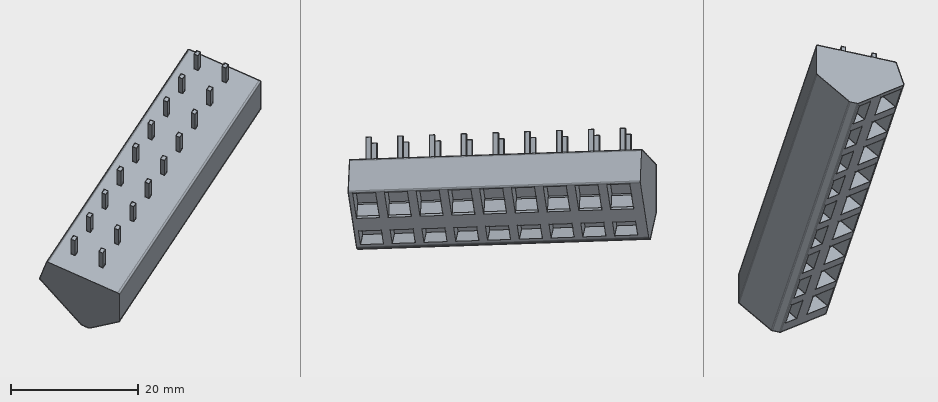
import cadquery as cq
import math

body_height = 13.0
top_width = 13.0
lean_angle = 13.35
shoulder_height = 7.52
back_edge_height = 5.4
edge_radius = 0.3

pole_count = 9
pole_pitch = 5.08
front_margin = 3.54
rear_margin = pole_pitch / 2

pin_row_spacing = 5.0
pin_row_inset = 3.0
pin_width_x = 0.7
pin_width_y = 0.8
pin_length = 4.0

pocket_width = 3.68
pocket_depth = 2.8
wire_pocket_bottom = 0.42
wire_pocket_top = 2.25
lever_pocket_bottom = 3.94
lever_pocket_top = 7.3
lever_face_bottom = 4.4
lever_face_top = 6.36

lean_slope = math.tan(math.radians(lean_angle))
body_length = front_margin + (pole_count - 1) * pole_pitch + rear_margin
top_left_x = (body_height - shoulder_height) * lean_slope
back_x = top_left_x + top_width
ridge_left_x = shoulder_height
ridge_right_x = back_x - back_edge_height
pole_positions = [front_margin + i * pole_pitch for i in range(pole_count)]


def extrude_along_y(points, start_y, length):
    """Extrude a closed XZ outline towards +Y from start_y."""
    plane = cq.Workplane("XZ", origin=(0, start_y, 0))
    return plane.polyline(points).close().extrude(-length)


def slope_point(z, depth=0.0):
    """XZ point reached by going into the body, square to the entry slope, from height z."""
    step = depth / math.sqrt(2)
    return (shoulder_height - z + step, z + step)


def make_body():
    outline = [
        (ridge_left_x, 0),
        (ridge_right_x, 0),
        (back_x, back_edge_height),
        (back_x, body_height),
        (top_left_x, body_height),
        (0, shoulder_height),
    ]
    return extrude_along_y(outline, 0, body_length).edges("|Y").fillet(edge_radius)


def make_wire_pocket(y):
    outline = [
        slope_point(wire_pocket_bottom),
        slope_point(wire_pocket_bottom, pocket_depth),
        slope_point(wire_pocket_top, pocket_depth),
        slope_point(wire_pocket_top),
    ]
    return extrude_along_y(outline, y - pocket_width / 2, pocket_width)


def make_lever_pocket(y):
    """Pocket whose floor is partly filled by a lever with a leaning face."""
    ledge_depth = (lever_face_bottom - lever_pocket_bottom) * math.sqrt(2)
    face_start = slope_point(lever_pocket_bottom, ledge_depth)
    face_end_x = face_start[0] + (lever_face_top - lever_face_bottom) * lean_slope
    face_end_depth = (face_end_x + lever_face_top - shoulder_height) / math.sqrt(2)
    floor_step = (pocket_depth - face_end_depth) / math.sqrt(2)
    outline = [
        slope_point(lever_pocket_bottom),
        face_start,
        (face_end_x, lever_face_top),
        (face_end_x + floor_step, lever_face_top + floor_step),
        slope_point(lever_pocket_top, pocket_depth),
        slope_point(lever_pocket_top),
    ]
    return extrude_along_y(outline, y - pocket_width / 2, pocket_width)


def make_pins():
    first_row_x = top_left_x + pin_row_inset
    positions = [
        (x, y)
        for x in (first_row_x, first_row_x + pin_row_spacing)
        for y in pole_positions
    ]
    plane = cq.Workplane("XY", origin=(0, 0, body_height))
    return plane.pushPoints(positions).rect(pin_width_x, pin_width_y).extrude(pin_length)


result = make_body()
for pole_y in pole_positions:
    result = result.cut(make_wire_pocket(pole_y)).cut(make_lever_pocket(pole_y))
result = result.union(make_pins())